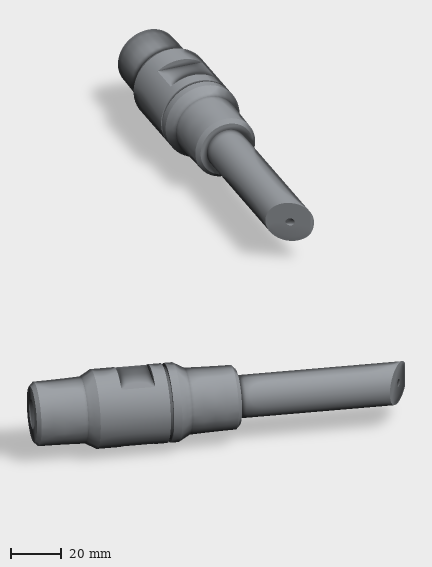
import cadquery as cq
import math

total_length = 151.49
body_diameter = 31.75

end_chamfer = 1.59
end_diameter = 25.7
neck_diameter = 26.7
body_length = 82.55
shoulder_length = 4.55
neck_length = 20.3

groove_start = 53.1
groove_width = 1.3
groove_diameter = 28.96

flat_start = 34.35
flat_length = 13.6
across_flats = 25.4

bore_diameter = 11.91
bore_depth = neck_length

tube_diameter = 17.14
tube_slant_angle = 30
tube_tip_y = 7.0
tube_hole_diameter = 3.17
tube_hole_depth = 10.0


def make_body():
    """Revolved coupling body, the same at both ends."""
    end_radius = end_diameter / 2
    neck_radius = neck_diameter / 2
    body_radius = body_diameter / 2
    half_profile = [
        (0, end_radius - end_chamfer),
        (end_chamfer, end_radius),
        (neck_length, neck_radius),
        (neck_length + shoulder_length, body_radius),
    ]
    mirrored = [(body_length - x, radius) for x, radius in reversed(half_profile)]
    outline = [(0, 0)] + half_profile + mirrored + [(body_length, 0)]
    return cq.Workplane("XY").polyline(outline).close().revolve(360, (0, 0, 0), (1, 0, 0))


def x_cylinder(diameter, start, length):
    """Solid cylinder on the X axis."""
    return cq.Workplane("YZ", origin=(start, 0, 0)).circle(diameter / 2).extrude(length)


def make_groove():
    """Ring that cuts the groove around the body."""
    ring = x_cylinder(2 * body_diameter, groove_start, groove_width)
    return ring.cut(x_cylinder(groove_diameter, groove_start, groove_width))


def make_flat(side):
    """Block that cuts the wrench flat on the +Z (1) or -Z (-1) side."""
    block = cq.Workplane("XY").box(flat_length, body_diameter, body_diameter)
    centre_z = side * (across_flats + body_diameter) / 2
    return block.translate((flat_start + flat_length / 2, 0, centre_z))


def make_tube():
    """Tube whose end is cut on a slant about Z, with a small blunt tip."""
    radius = tube_diameter / 2
    slant_run = math.tan(math.radians(tube_slant_angle))
    slant_start = total_length - (tube_tip_y + radius) * slant_run
    tube = x_cylinder(tube_diameter, body_length, total_length - body_length)
    side_outline = [
        (body_length, -radius),
        (slant_start, -radius),
        (total_length, tube_tip_y),
        (total_length, radius),
        (body_length, radius),
    ]
    trim = cq.Workplane("XY").polyline(side_outline).close().extrude(radius, both=True)
    hole_mouth = slant_start + radius * slant_run
    hole = x_cylinder(tube_hole_diameter, hole_mouth - tube_hole_depth, 2 * tube_hole_depth)
    return tube.intersect(trim).cut(hole)


result = make_body().cut(make_groove())
for side in (1, -1):
    result = result.cut(make_flat(side))
result = result.union(make_tube())
result = result.cut(x_cylinder(bore_diameter, 0, bore_depth))